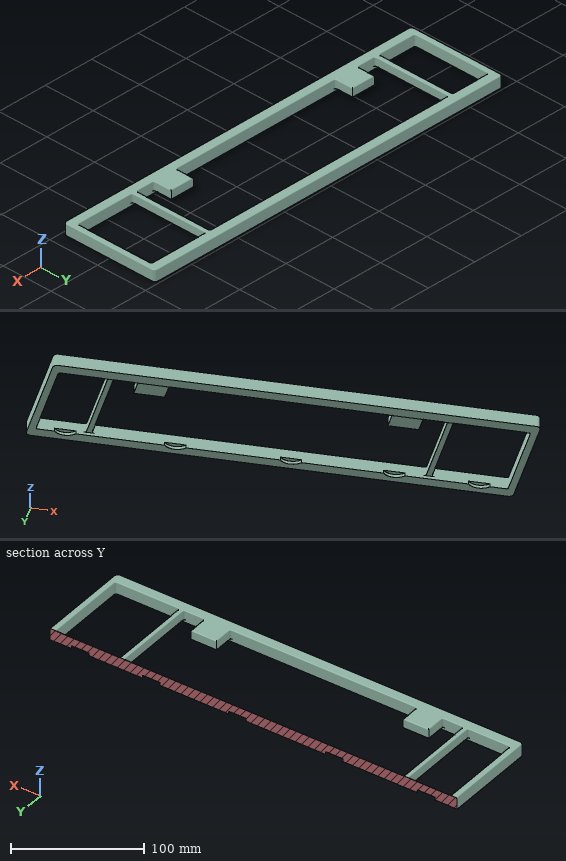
import cadquery as cq
LENGTH = 375.0
WIDTH = 96.0
HEIGHT = 11.0
CORNER_RADIUS = 3.7
TOP_FILLET = 1.0

END_WALL = 6.0
SIDE_RAIL = 9.7
RIB_THICKNESS = 4.5
UNDERSIDE_RELIEF = 2.5
LEFT_RIB_X = -140.5
RIGHT_RIB_X = 120.7
WINDOW_RADIUS = 1.5

TAB_WIDTH = 24.0
TAB_LENGTH = 18.0
TAB_RIB_GAP = 18.7

RECESS_XS = [-159.0, -74.2, 14.5, 94.0, 159.5]
RECESS_RADIUS = 11.0
RECESS_REACH = 3.7
RECESS_DEPTH = 2.5

window_x_limit = LENGTH / 2 - END_WALL
window_y_limit = WIDTH / 2 - SIDE_RAIL
half_rib = RIB_THICKNESS / 2


def make_blank():
    """Solid plate with rounded upright corners."""
    plate = cq.Workplane("XY").box(LENGTH, WIDTH, HEIGHT, centered=(True, True, False))
    return plate.edges("|Z").fillet(CORNER_RADIUS)


def block(x_start, x_end, y_start, y_end):
    """Full-height block between the given X and Y limits."""
    return cq.Workplane("XY").box(
        x_end - x_start, y_end - y_start, HEIGHT, centered=False
    ).translate((x_start, y_start, 0))


def window(x_start, x_end):
    """Opening between the rails, before its corners are rounded."""
    return block(x_start, x_end, -window_y_limit, window_y_limit)


def tab(x_start):
    """Space kept solid for a tab on the front rail."""
    return block(x_start, x_start + TAB_WIDTH, -window_y_limit, -window_y_limit + TAB_LENGTH)


def make_openings():
    """Three windows, the middle one wrapped around the two tabs."""
    left = window(-window_x_limit, LEFT_RIB_X - half_rib)
    right = window(RIGHT_RIB_X + half_rib, window_x_limit)
    middle = window(LEFT_RIB_X + half_rib, RIGHT_RIB_X - half_rib)
    middle = middle.cut(tab(LEFT_RIB_X + half_rib + TAB_RIB_GAP))
    middle = middle.cut(tab(RIGHT_RIB_X - half_rib - TAB_RIB_GAP - TAB_WIDTH))
    return [opening.edges("|Z and (<Y or >Y)").fillet(WINDOW_RADIUS) for opening in (left, middle, right)]


def make_recesses():
    """Round cutters that bite into the back rail from below."""
    center_y = window_y_limit + RECESS_REACH - RECESS_RADIUS
    centers = [(x, center_y) for x in RECESS_XS]
    return cq.Workplane("XY").pushPoints(centers).circle(RECESS_RADIUS).extrude(RECESS_DEPTH)


def make_relief():
    """Cutter that lifts the undersides of the ribs and tabs above the frame's base."""
    full_opening = cq.Workplane("XY").rect(2 * window_x_limit, 2 * window_y_limit)
    return full_opening.extrude(UNDERSIDE_RELIEF).edges("|Z").fillet(WINDOW_RADIUS)


result = make_blank()
for opening in make_openings():
    result = result.cut(opening)
result = result.faces(">Z").edges().fillet(TOP_FILLET)
result = result.cut(make_relief())
result = result.cut(make_recesses())